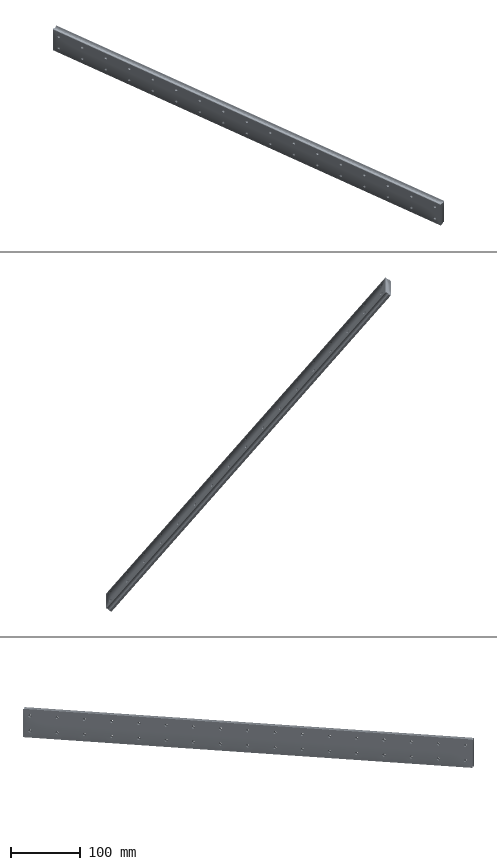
import cadquery as cq
import math

length = 660.0
thickness = 9.0
height = 42.0
front_chamfer = 0.5

back_lip = 0.23
mouth_width = 5.5
entry_chamfer = 1.1
floor_width = 1.0
wall_angle = 30.0

hole_diameter = 4.35
hole_columns = 17
hole_rows = 2
end_margin = 10.0
column_pitch = (length - 2 * end_margin) / (hole_columns - 1)
row_spacing = 22.5


def top_edge_outline():
    """Points (y, z) of the top edge, from the front face to the back face."""
    front = -thickness / 2
    back = thickness / 2
    top = height / 2

    groove_end = back - back_lip
    groove_start = groove_end - mouth_width
    groove_center = (groove_start + groove_end) / 2
    wall_run = (mouth_width - floor_width) / 2 - entry_chamfer
    shoulder = top - entry_chamfer
    floor = shoulder - wall_run * math.tan(math.radians(wall_angle))

    return [
        (front, top - front_chamfer),
        (front + front_chamfer, top),
        (groove_start, top),
        (groove_start + entry_chamfer, shoulder),
        (groove_center - floor_width / 2, floor),
        (groove_center + floor_width / 2, floor),
        (groove_end - entry_chamfer, shoulder),
        (groove_end, top),
        (back, top),
    ]


def make_bar():
    """Extrude the section, which is mirrored about mid-height, along X."""
    upper = top_edge_outline()
    lower = [(y, -z) for y, z in reversed(upper)]
    section = cq.Workplane("YZ").polyline(upper + lower).close()
    return section.extrude(length / 2, both=True)


def drill_holes(bar):
    """Drill the grid of holes straight through from the front face."""
    front_plane = bar.faces("<Y").workplane(centerOption="CenterOfBoundBox")
    hole_grid = front_plane.rarray(column_pitch, row_spacing, hole_columns, hole_rows)
    return hole_grid.hole(hole_diameter)


result = drill_holes(make_bar())